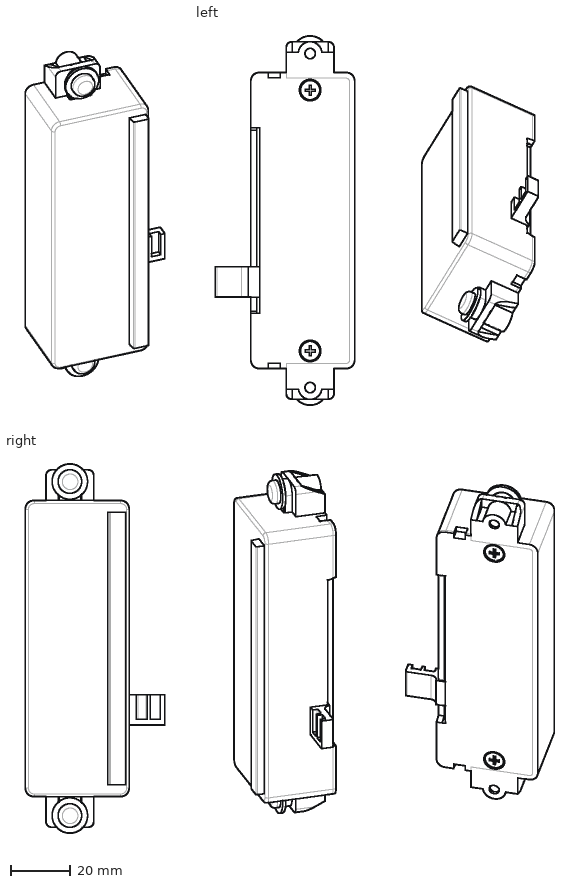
import cadquery as cq
import math


case_depth = 25.0
case_front_y = -15.1
case_rear_y = 20.0
case_height = 99.8
case_corner_radius = 3.0
case_rim_radius = 1.0
case_top = case_height / 2

plate_thickness = 1.1
rim_width = 1.9

screw_axis_z = 56.3
boss_diameter = 8.0
boss_end_x = 13.2
boss_chamfer = 0.4
shank_diameter = 3.5
ear_width = 16.2
ear_depth = 10.3
ear_wall = 2.0
ear_corner_radius = 2.0
ear_pocket_depth = 3.5
ear_end_wall = 2.6
ear_side = ear_width / 2
ear_top = screw_axis_z + boss_diameter / 2
ear_base = case_top - rim_width
ear_pocket_end = ear_depth - ear_end_wall

washer_diameter = 12.0
washer_thickness = 1.1
head_diameter = 8.0
head_height = 2.6
head_radius = 1.4
shank_start_x = 1.0

plate_screw_z = 44.0
plate_screw_diameter = 7.2
plate_screw_bevel = 0.4
cross_length = 3.4
cross_width = 0.7
cross_depth = 0.7

snap_depth = 3.7
snap_width = 4.0
snap_centre_y = 12.1

recess_height = 62.5
recess_depth = 3.0
recess_floor_y = 16.9
recess_end_slope = 0.7
groove_width = 1.1
groove_depth = 5.0

slider_back_x = 4.9
slider_front_x = 9.1
slider_root_x = 2.5
slider_tip_y = 32.0
slider_bottom = -25.8
slider_height = 10.2
slider_tip_radius = 0.5
slider_root_radius = slider_back_x - slider_root_x
slider_root_y = 20.8
slider_pocket_depth = 1.9
slider_pocket_floor = 2.0
outer_pocket = (27.1, 30.5)
inner_pocket = (22.4, 26.0)
inner_pocket_radius = 0.5

bar_height = 91.8
bar_rear_y = 18.8
bar_front_y = 12.8
bar_draft = 0.5
bar_end_x = 28.0
bar_edge_radius = 0.4


def block(x_range, y_range, z_range):
    """Box given by its limits along X, Y and Z."""
    return cq.Workplane("XY").box(
        x_range[1] - x_range[0],
        y_range[1] - y_range[0],
        z_range[1] - z_range[0],
        centered=False,
    ).translate((x_range[0], y_range[0], z_range[0]))


def rod(diameter, x_start, x_end, z):
    """Cylinder along X, centred on Y = 0."""
    return (
        cq.Workplane("YZ", origin=(x_start, 0, z))
        .circle(diameter / 2)
        .extrude(x_end - x_start)
    )


def both_ends(upper):
    """The given upper feature together with its mirror image at the lower end."""
    return upper.union(upper.mirror("XY"))


def make_case():
    case = block((0, case_depth), (case_front_y, case_rear_y), (-case_top, case_top))
    return case.edges("|X").fillet(case_corner_radius).faces(">X").edges().fillet(case_rim_radius)


def make_inset_plate():
    """Front part of the back plate, inside the case rim and below the ears."""
    plate = block(
        (0, plate_thickness), (case_front_y + rim_width, ear_side), (-ear_base, ear_base)
    )
    return plate.edges("|X and <Y").fillet(case_corner_radius - rim_width)


def make_rear_plate():
    """Rear part of the back plate, which reaches the case outline."""
    return make_case().intersect(rear_zone())


def rear_zone():
    """Space of the back plate behind the ears."""
    return block((0, plate_thickness), (ear_side, case_rear_y), (-case_top, case_top))


def make_ear():
    """Upper ear: a box with a sloped top, a pocket and a screw boss."""
    ear = block((0, ear_depth), (-ear_side, ear_side), (ear_base, ear_top))
    ear = ear.edges("|X and >Z").fillet(ear_corner_radius)

    pocket_floor = ear_top - ear_pocket_depth
    slope = (
        cq.Workplane("XZ", origin=(0, ear_side, 0))
        .polyline([(0, pocket_floor), (ear_pocket_end, ear_top), (0, ear_top)])
        .close()
        .extrude(ear_width)
    )
    inner_half = ear_side - ear_wall
    pocket = block((0, ear_pocket_end), (-inner_half, inner_half), (pocket_floor, ear_top))
    ear = ear.cut(slope).cut(pocket)

    boss_radius = boss_diameter / 2
    boss = (
        cq.Workplane("YZ")
        .moveTo(-boss_radius, ear_base)
        .lineTo(-boss_radius, screw_axis_z)
        .threePointArc((0, ear_top), (boss_radius, screw_axis_z))
        .lineTo(boss_radius, ear_base)
        .close()
        .extrude(boss_end_x)
        .faces(">X")
        .chamfer(boss_chamfer)
    )
    return ear.union(boss).cut(rod(shank_diameter, 0, boss_end_x, screw_axis_z))


def make_snap_notch():
    return block(
        (0, snap_depth),
        (snap_centre_y - snap_width / 2, snap_centre_y + snap_width / 2),
        (case_top - rim_width, case_top),
    )


def make_plate_screw_recess():
    """Beveled ring around a screw head and the cross slot in it."""
    outer_radius = plate_screw_diameter / 2
    ring = (
        cq.Workplane("XY")
        .polyline(
            [
                (0, outer_radius),
                (0, outer_radius - plate_screw_bevel),
                (plate_screw_bevel, outer_radius - plate_screw_bevel),
            ]
        )
        .close()
        .revolve(360, (0, 0, 0), (1, 0, 0))
    )
    half_length = cross_length / 2
    half_width = cross_width / 2
    upright = block((0, cross_depth), (-half_width, half_width), (-half_length, half_length))
    level = block((0, cross_depth), (-half_length, half_length), (-half_width, half_width))
    return ring.union(upright.union(level)).translate((0, 0, plate_screw_z))


def make_rear_recess():
    """Recess in the rear edge, with sloped ends, and the deeper groove along its inner side."""
    half_height = recess_height / 2
    half_floor = half_height - recess_end_slope
    recess = (
        cq.Workplane("XZ", origin=(0, case_rear_y, 0))
        .polyline(
            [
                (0, -half_height),
                (recess_depth, -half_floor),
                (recess_depth, half_floor),
                (0, half_height),
            ]
        )
        .close()
        .extrude(case_rear_y - recess_floor_y)
    )
    groove = block(
        (0, groove_depth),
        (recess_floor_y, recess_floor_y + groove_width),
        (-half_height, half_height),
    )
    return recess.union(groove)


def make_slider():
    """Slider tongue with a flared root and two pockets in its front face."""
    arc_offset = slider_root_radius * (1 - math.sqrt(0.5))
    slider = (
        cq.Workplane("XY", origin=(0, 0, slider_bottom))
        .moveTo(slider_root_x, recess_floor_y)
        .lineTo(slider_root_x, slider_root_y)
        .threePointArc(
            (slider_back_x - arc_offset, slider_root_y + arc_offset),
            (slider_back_x, slider_root_y + slider_root_radius),
        )
        .lineTo(slider_back_x, slider_tip_y)
        .lineTo(slider_front_x, slider_tip_y)
        .lineTo(slider_front_x, recess_floor_y)
        .close()
        .extrude(slider_height)
        .faces(">Y")
        .edges("<X")
        .fillet(slider_tip_radius)
    )
    return slider.cut(make_slider_pocket(outer_pocket)).cut(
        make_slider_pocket(inner_pocket).edges("|Z and <X").fillet(inner_pocket_radius)
    )


def make_slider_pocket(y_range):
    return block(
        (slider_front_x - slider_pocket_depth, slider_front_x),
        y_range,
        (slider_bottom + slider_pocket_floor, slider_bottom + slider_height),
    )


def make_front_bar():
    """Bar on the front face, its lower long side drafted."""
    return (
        cq.Workplane("XY", origin=(0, 0, -bar_height / 2))
        .polyline(
            [
                (case_depth, bar_front_y),
                (bar_end_x, bar_front_y + bar_draft),
                (bar_end_x, bar_rear_y),
                (case_depth, bar_rear_y),
            ]
        )
        .close()
        .extrude(bar_height)
        .edges("|Z and >X")
        .fillet(bar_edge_radius)
    )


def make_housing():
    plate_space = make_inset_plate().union(rear_zone())
    housing = make_case().cut(plate_space).union(both_ends(make_ear()))
    housing = housing.union(make_front_bar())

    plate = make_inset_plate().union(make_rear_plate())
    housing = housing.union(plate, clean=False)

    housing = housing.cut(both_ends(make_snap_notch()), clean=False)
    housing = housing.cut(both_ends(make_plate_screw_recess()), clean=False)
    housing = housing.cut(make_rear_recess(), clean=False)
    return housing.union(make_slider(), clean=False)


def make_mounting_screw(z):
    """Screw with a round-edged head, a washer and a shank that fills the boss hole."""
    washer_end = boss_end_x + washer_thickness
    shank = rod(shank_diameter, shank_start_x, boss_end_x, z)
    washer = rod(washer_diameter, boss_end_x, washer_end, z)
    head = rod(head_diameter, washer_end, washer_end + head_height, z)
    return shank.union(washer).union(head.faces(">X").edges().fillet(head_radius))


housing = make_housing()
mounting_screws = [make_mounting_screw(z).val() for z in (-screw_axis_z, screw_axis_z)]

result = cq.Compound.makeCompound([housing.val(), *mounting_screws])